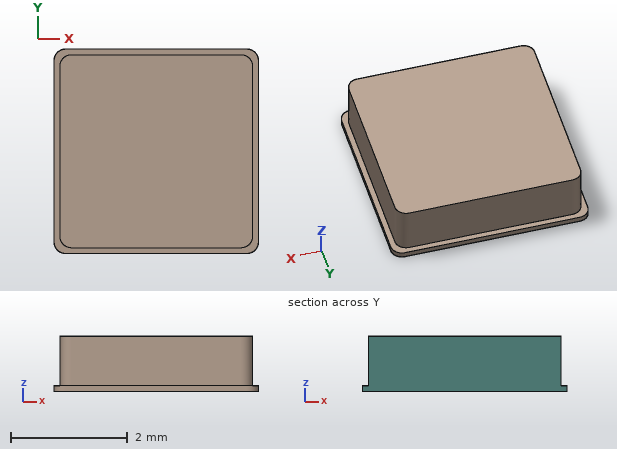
import cadquery as cq

flange_side = 3.5
total_height = 0.95
flange_thickness = 0.1
flange_overhang = 0.1
corner_radius = 0.2

body_side = flange_side - 2 * flange_overhang


def rounded_square_block(side, height):
    """Square block centred on Z, standing on Z = 0, with rounded vertical edges."""
    block = cq.Workplane("XY").box(side, side, height, centered=(True, True, False))
    return block.edges("|Z").fillet(corner_radius)


flange = rounded_square_block(flange_side, flange_thickness)

body = rounded_square_block(body_side, total_height)

result = flange.union(body)